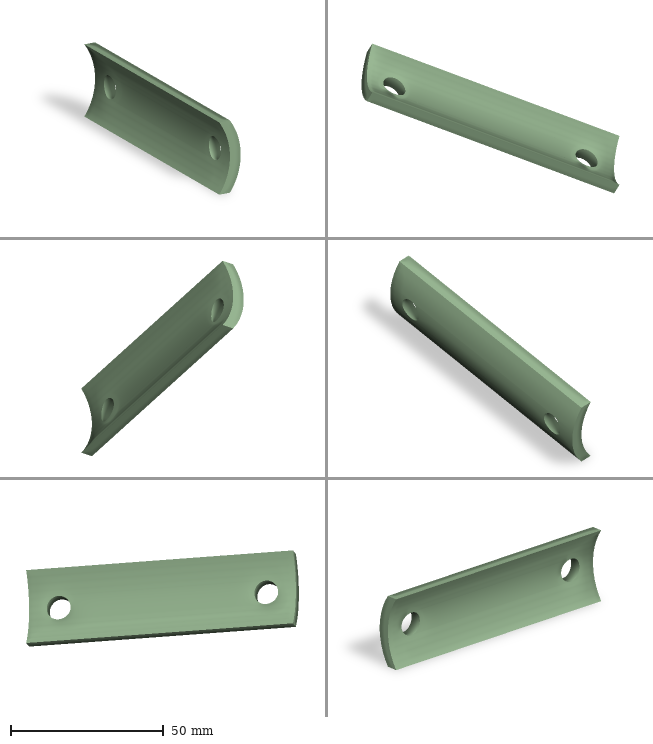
import cadquery as cq

length = 90.0
depth = 8.1
height = 25.0

thickness = 4.05
arc_rise = depth - thickness

hole_diameter = 8.0
hole_end_distance = 10.0
hole_spacing = length - 2 * hole_end_distance


def curved_strip():
    """Arched section, hollow towards -Y, extruded along X and centred on it."""
    half_height = height / 2
    return (
        cq.Workplane("YZ")
        .moveTo(0, -half_height)
        .threePointArc((arc_rise, 0), (0, half_height))
        .lineTo(thickness, half_height)
        .threePointArc((depth, 0), (thickness, -half_height))
        .close()
        .extrude(length / 2, both=True)
    )


def hole_cutters():
    """Two round cutters running through the strip along Y."""
    return (
        cq.Workplane("XZ")
        .pushPoints([(-hole_spacing / 2, 0), (hole_spacing / 2, 0)])
        .circle(hole_diameter / 2)
        .extrude(-depth)
    )


result = curved_strip().cut(hole_cutters())